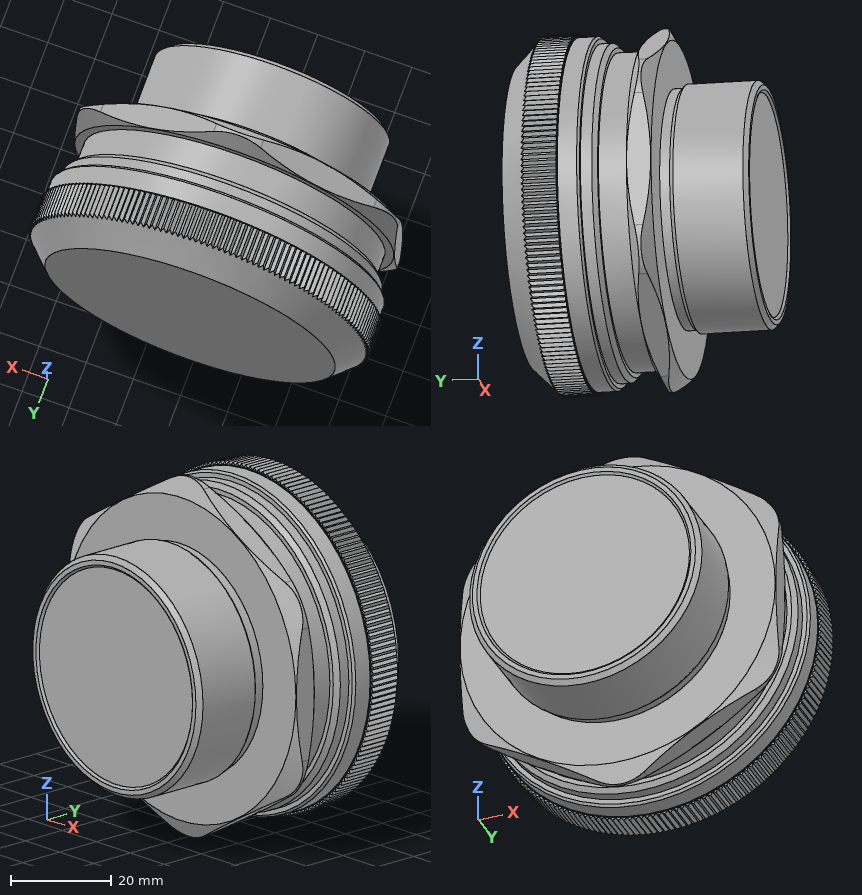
import cadquery as cq
import math


spigot_radius = 50.0 / 2
spigot_length = 18.0
spigot_end_chamfer = 1.0
neck_radius = 48.4 / 2
neck_length = 2.0
recess_rim_radius = 23.0
recess_floor_radius = 22.5
recess_depth = 0.5

hex_across_flats = 68.0
hex_thickness = 5.0
hex_corner_radius = 10.0
hex_chamfer_angle = 30.0
hex_face_radius = 33.9

barrel_radius = 64.0 / 2
barrel_length = 6.0
collar_radius = 68.0 / 2
collar_length = 3.3
collar_chamfer = 1.0
flange_radius = 71.0 / 2
flange_length = 4.4
flange_chamfer = 0.5

cap_length = 12.1
cap_chamfer = 5.4
knurl_tip_radius = 72.5 / 2
knurl_depth = 0.65
knurl_root_radius = knurl_tip_radius - knurl_depth
knurl_count = 180
cap_rim_length = 0.2

spigot_end_y = -spigot_length
barrel_start_y = hex_thickness
collar_start_y = barrel_start_y + barrel_length
flange_start_y = collar_start_y + collar_length
cap_start_y = flange_start_y + flange_length
cap_end_y = cap_start_y + cap_length


def turned(outline):
    """Revolve a (radius, y) outline about the Y axis."""
    return cq.Workplane("XY").polyline(outline).close().revolve(360, (0, 0, 0), (0, 1, 0))


def plane_at(y):
    """Plane square to the Y axis, with its normal along +Y."""
    return cq.Workplane(cq.Plane(origin=(0, y, 0), xDir=(1, 0, 0), normal=(0, 1, 0)))


def make_spigot():
    neck_taper_y = -neck_length
    full_radius_y = neck_taper_y - (spigot_radius - neck_radius)
    return turned([
        (0, 0),
        (neck_radius, 0),
        (neck_radius, neck_taper_y),
        (spigot_radius, full_radius_y),
        (spigot_radius, spigot_end_y + spigot_end_chamfer),
        (spigot_radius - spigot_end_chamfer, spigot_end_y),
        (recess_rim_radius, spigot_end_y),
        (recess_floor_radius, spigot_end_y + recess_depth),
        (0, spigot_end_y + recess_depth),
    ])


def make_hexagon():
    """Hexagon with flats facing +X and -X, rounded corners and chamfered faces."""
    corner_distance = hex_across_flats / math.sqrt(3)
    corners = []
    for index in range(6):
        angle = math.radians(30 + 60 * index)
        corners.append((corner_distance * math.cos(angle), corner_distance * math.sin(angle)))
    prism = plane_at(0).polyline(corners).close().extrude(hex_thickness)
    prism = prism.edges("|Y").fillet(hex_corner_radius)

    chamfer_height = (corner_distance - hex_face_radius) * math.tan(math.radians(hex_chamfer_angle))
    chamfer_envelope = turned([
        (0, 0),
        (hex_face_radius, 0),
        (corner_distance, chamfer_height),
        (corner_distance, hex_thickness - chamfer_height),
        (hex_face_radius, hex_thickness),
        (0, hex_thickness),
    ])
    return prism.intersect(chamfer_envelope)


def make_barrel():
    return turned([
        (0, barrel_start_y),
        (barrel_radius, barrel_start_y),
        (barrel_radius, collar_start_y),
        (collar_radius - collar_chamfer, collar_start_y),
        (collar_radius, collar_start_y + collar_chamfer),
        (collar_radius, flange_start_y),
        (flange_radius - flange_chamfer, flange_start_y),
        (flange_radius, flange_start_y + flange_chamfer),
        (flange_radius, cap_start_y),
        (0, cap_start_y),
    ])


def make_cap():
    """Cap with straight V-shaped knurling, a conical outer end and a plain rim at root radius."""
    half_pitch = math.pi / knurl_count
    teeth = []
    for index in range(2 * knurl_count):
        radius = knurl_tip_radius if index % 2 == 0 else knurl_root_radius
        angle = index * half_pitch
        teeth.append((radius * math.cos(angle), radius * math.sin(angle)))
    knurled_bar = plane_at(cap_start_y).polyline(teeth).close().extrude(cap_length)

    cap_envelope = turned([
        (0, cap_start_y),
        (knurl_root_radius, cap_start_y),
        (knurl_root_radius, cap_start_y + cap_rim_length),
        (knurl_tip_radius, cap_start_y + cap_rim_length),
        (knurl_tip_radius, cap_end_y - cap_chamfer),
        (knurl_tip_radius - cap_chamfer, cap_end_y),
        (0, cap_end_y),
    ])
    return knurled_bar.intersect(cap_envelope)


result = make_spigot().union(make_hexagon()).union(make_barrel()).union(make_cap())